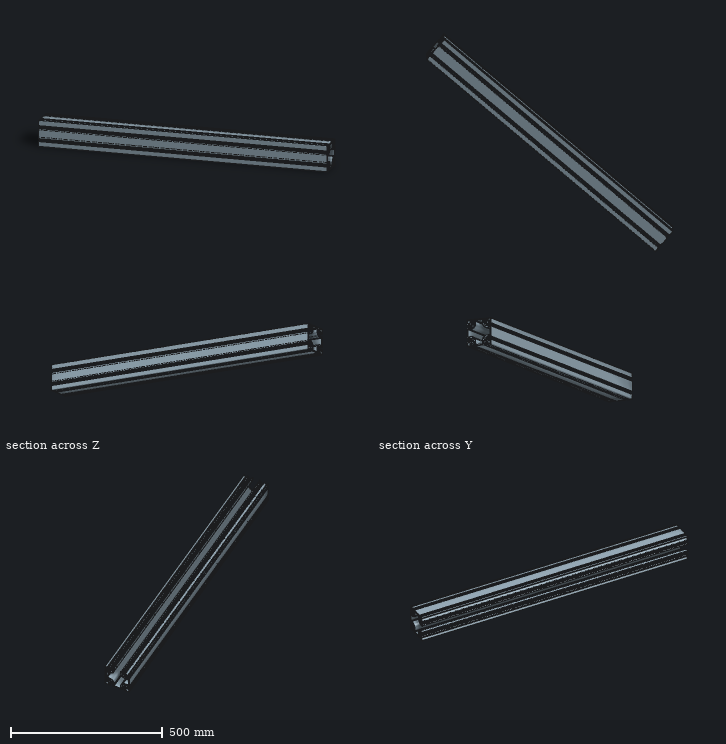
import cadquery as cq

length = 1000.0
side = 90.0
half = side / 2
edge_radius = 2.5

slot_offset = side / 4
slot_opening = 9.0
slot_width = 16.0
lip_depth = 5.0
shoulder_depth = 7.0
neck_depth = 10.0
slot_depth = 15.0
floor_width = 10.0
groove_width = 3.0
groove_depth = 0.7

core_hole_diameter = 8.5
corner_hole_diameter = 12.0
corner_hole_inset = side / 12

skin_thickness = 4.0
slot_wall = 2.0
arm_half_width = slot_offset - slot_width / 2 - slot_wall
hollow_corner_radius = 18.0


def section():
    return cq.Workplane("YZ").workplane(offset=-length / 2)


def slot(centre):
    """T-slot with a narrow V-groove along its floor, open to the +Z face."""
    bottom = half - slot_depth
    right_side = [
        (slot_opening / 2, half),
        (slot_opening / 2, half - lip_depth),
        (slot_width / 2, half - lip_depth),
        (slot_width / 2, half - shoulder_depth),
        (floor_width / 2, half - neck_depth),
        (floor_width / 2, bottom),
        (groove_width / 2, bottom),
    ]
    left_side = [(-y, z) for y, z in reversed(right_side)]
    outline = right_side + [(0, bottom - groove_depth)] + left_side
    return section().polyline([(centre + y, z) for y, z in outline]).close().extrude(length)


def four_holes(diameter, offset):
    """One hole in each quarter, at the same offset from both centrelines."""
    square = section().rect(2 * offset, 2 * offset, forConstruction=True)
    return square.vertices().circle(diameter / 2).extrude(length)


def central_hollow():
    """Cross whose four inside corners are rounded around the core holes."""
    span = side - 2 * skin_thickness
    width = 2 * arm_half_width
    flat_arm = section().rect(span, width).extrude(length)
    upright_arm = section().rect(width, span).extrude(length)
    corner_zone = cq.selectors.BoxSelector((-length, -width, -width), (length, width, width))
    cross = flat_arm.union(upright_arm)
    return cross.edges("|X").edges(corner_zone).fillet(hollow_corner_radius)


result = section().rect(side, side).extrude(length).edges("|X").fillet(edge_radius)
for quarter_turn in range(4):
    for centre in (-slot_offset, slot_offset):
        result = result.cut(slot(centre).rotate((0, 0, 0), (1, 0, 0), 90 * quarter_turn))
result = result.cut(four_holes(core_hole_diameter, slot_offset))
result = result.cut(four_holes(corner_hole_diameter, half - corner_hole_inset))
result = result.cut(central_hollow())